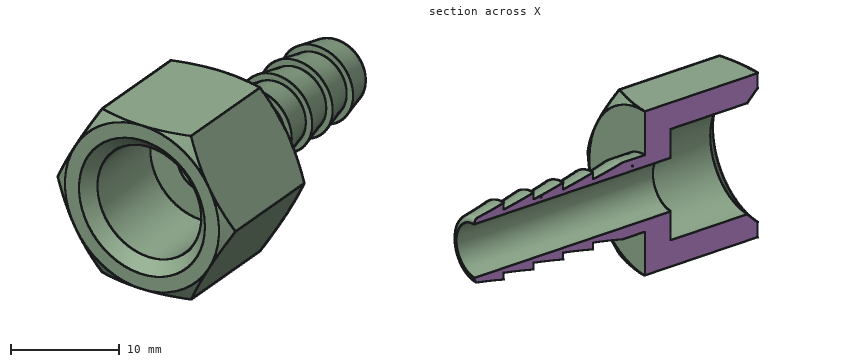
import cadquery as cq
import math

across_flats = 17.0
nut_length = 13.0
across_corners = across_flats / math.cos(math.radians(30))
corner_chamfer_angle = 30.0
envelope_clearance = 1.0

socket_diameter = 11.45
socket_depth = 10.0
socket_mouth_diameter = 13.9
socket_mouth_depth = (socket_mouth_diameter - socket_diameter) / 2

overall_length = 32.5
barb_count = 5
barb_pitch = 3.4
barb_crest_diameter = 8.0
barb_root_diameter = 6.6
tip_fillet = 0.5
through_bore_diameter = 5.5


def revolve_about_y(profile):
    """Turn a closed (radius, y) profile into a solid of revolution about the Y axis."""
    return profile.close().revolve(360, (0, 0, 0), (0, 1, 0))


def make_nut():
    """Hexagonal prism with corners on the X axis and both ends chamfered conically."""
    prism = (
        cq.Workplane("XZ")
        .polygon(6, across_corners)
        .extrude(-nut_length)
    )
    face_radius = across_flats / 2
    envelope_radius = across_corners / 2 + envelope_clearance
    cone_height = (envelope_radius - face_radius) * math.tan(math.radians(corner_chamfer_angle))
    envelope = revolve_about_y(
        cq.Workplane("XY")
        .moveTo(0, 0)
        .lineTo(face_radius, 0)
        .lineTo(envelope_radius, cone_height)
        .lineTo(envelope_radius, nut_length - cone_height)
        .lineTo(face_radius, nut_length)
        .lineTo(0, nut_length)
    )
    return prism.intersect(envelope)


def make_hose_tail():
    """Plain neck followed by a row of barbs that taper toward the rounded tip."""
    crest_radius = barb_crest_diameter / 2
    root_radius = barb_root_diameter / 2
    first_barb_y = overall_length - barb_count * barb_pitch
    profile = (
        cq.Workplane("XY")
        .moveTo(0, nut_length)
        .lineTo(crest_radius, nut_length)
        .lineTo(crest_radius, first_barb_y)
    )
    for barb in range(1, barb_count + 1):
        barb_end_y = first_barb_y + barb * barb_pitch
        profile = profile.lineTo(root_radius, barb_end_y)
        if barb < barb_count:
            profile = profile.lineTo(crest_radius, barb_end_y)
    profile = profile.lineTo(0, overall_length)
    return revolve_about_y(profile).faces(">Y").edges().fillet(tip_fillet)


def make_socket():
    """Cutter for the flat-bottomed socket and its countersunk mouth."""
    socket_radius = socket_diameter / 2
    return revolve_about_y(
        cq.Workplane("XY")
        .moveTo(0, 0)
        .lineTo(socket_mouth_diameter / 2, 0)
        .lineTo(socket_radius, socket_mouth_depth)
        .lineTo(socket_radius, socket_depth)
        .lineTo(0, socket_depth)
    )


def make_through_bore():
    """Cutter for the bore running the full length of the fitting."""
    return cq.Workplane("XZ").circle(through_bore_diameter / 2).extrude(-overall_length)


result = make_nut().union(make_hose_tail()).cut(make_socket()).cut(make_through_bore())